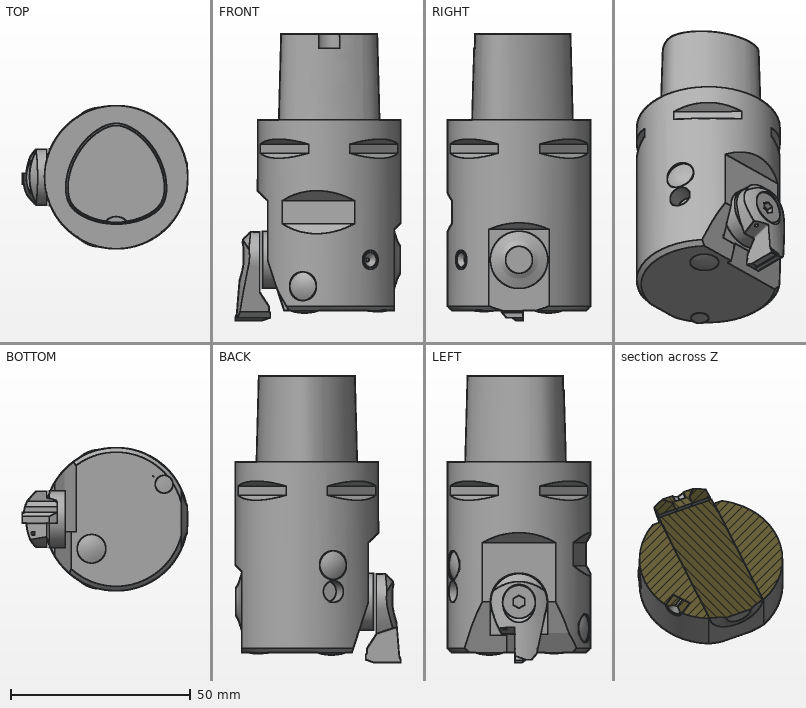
import cadquery as cq
import math


SHANK_LENGTH = 24.0
SHANK_BASE_RADIUS = 14.1
SHANK_TOP_RADIUS = 13.4
SHANK_LOBE = 1.0
SHANK_FACES = 6
POINTS_PER_FACE = 9
KEYWAY_DIAMETER = 7.5
KEYWAY_DEPTH = 4.0
KEYWAY_AXIS_Y = -14.7

BODY_RADIUS = 20.0
BODY_LENGTH = 53.2
BODY_CHAMFER = 1.3
BODY_BOTTOM_Z = -BODY_LENGTH
CUT_SIZE = 64.0

GRIP_DISTANCE = 17.6
GRIP_TOP_Z = -6.8
GRIP_BOTTOM_Z = -9.3
GRIP_FLARE = 0.6
GRIP_ANGLES = (45, 135, 225, 315)

FLAT_DISTANCE = 17.2
FLAT_TOP_Z = -22.6
FLAT_POCKET_BOTTOM_Z = -29.0
FLAT_POCKET_ANGLE = 260.0
RIGHT_FLAT_DISTANCE = 18.2
RIGHT_FLAT_TOP_Z = -30.6

BAR_Z = -39.0
BAR_RADIUS = 16.0 / 2
BAR_FRONT_X = -18.6
BAR_SHOULDER_X = RIGHT_FLAT_DISTANCE
BAR_RING_X = 19.0
BAR_RING_RADIUS = 5.3
BAR_END_X = 19.8
BAR_END_RADIUS = 7.5 / 2
SLOT_FLOOR_X = -14.2

RELIEF_ANGLE = 18.0
STEEP_RELIEF_ANGLE = 30.0
STEEP_RELIEF_Z = -47.7
STEEP_RELIEF_Y = 3.4

ARM_BACK_X = -19.4
ARM_HEAD_RADIUS = 7.8
ARM_TANGENT_DROP = 1.6
ARM_SHOULDER = (6.1, -45.6)
ARM_SHOULDER_END = (4.3, -48.8)
ARM_HEEL_TOP = (-5.0, -53.5)
ARM_HEEL_END_Y = -3.5
ARM_STRAIGHT_END_Z = -48.1
ARM_FOOT_X = -16.7
ARM_FOOT_TOP_Z = -52.1
ARM_FOOT_END_Z = -53.4
ARM_LIP_X = -16.4
ARM_LIP_TOP_Z = -53.8
ARM_FACE_TOP = (-24.1, -33.5)
ARM_FACE_BOTTOM = (-25.8, -54.1)
ARM_FACE_RADIUS = 14.4
ARM_CONE_X = -21.9
ARM_CONE_DROP = 0.8
ARM_BOTTOM_Z = -55.2
ARM_EDGE_Y = 1.1
STEP_BACK_Z = -47.9
STEP_ANGLE = 18.0
STEP_FILLET = 0.5
OUTLET_DIAMETER = 1.0
OUTLET_Y = 3.9
OUTLET_X = -23.2
OUTLET_DEPTH = 2.4
TIP_X = -26.2
TIP_BACK_X = -18.6
TIP_Z = -56.0
TIP_LAND_END_Y = -0.8
TIP_FLANK_END_Y = -1.9
TIP_TOP_Z = -54.1
TIP_LIP_Z = -55.3

SCREW_FRONT_X = -23.9
SCREW_HEAD_RADIUS = 9.2 / 2
SCREW_SHANK_RADIUS = 5.0 / 2
SCREW_NECK_X = SCREW_FRONT_X + SCREW_HEAD_RADIUS - SCREW_SHANK_RADIUS
SCREW_END_X = ARM_BACK_X
SOCKET_CORNERS = 3.6
SOCKET_TURN = 30
SOCKET_DEPTH = 2.0

PLUG_DIAMETER = 8.0
PLUG_RIM_RADIUS = 19.4
PLUG_LENGTH = 3.2
PLUG_RISE = 1.0
FRONT_PLUG_ANGLE = 248.0
FRONT_PLUG_Z = -46.4
REAR_PLUG_ANGLE = 112.0
REAR_PLUG_Z = -28.8
BOTTOM_PLUG_RISE = 0.7
BOTTOM_PLUG_X = -6.9
BOTTOM_PLUG_Y = 8.2
SMALL_PLUG_DIAMETER = 5.0
SMALL_PLUG_RIM_DROP = 0.2
SMALL_PLUG_RISE = 0.2
SMALL_PLUG_X = 13.4
SMALL_PLUG_Y = -9.8

SIDE_HOLE_DIAMETER = 6.0
SIDE_HOLE_ANGLE = 112.0
SIDE_HOLE_Z = -36.2
SIDE_HOLE_DEPTH = 5.6
NOZZLE_ANGLE = 305.5
NOZZLE_Z = BAR_Z
NOZZLE_DIAMETER = 5.3
NOZZLE_FACE_RADIUS = 19.8
NOZZLE_LENGTH = 4.0
NOZZLE_MOUTH_DIAMETER = 4.2
NOZZLE_BORE_DIAMETER = 1.0
NOZZLE_CONE_DEPTH = 1.3


def radial_plane(angle, radius, z):
    """Plane at a distance from the tool axis, facing outward at the given angle; its local Y is +Z."""
    a = math.radians(angle)
    outward = (math.cos(a), math.sin(a), 0)
    origin = (radius * math.cos(a), radius * math.sin(a), z)
    return cq.Plane(origin=origin, xDir=(-math.sin(a), math.cos(a), 0), normal=outward)


def bar_axis_revolve(profile):
    """Revolve (x, radius) points about the bar axis, which runs along X."""
    wp = cq.Workplane("XZ", origin=(0, 0, BAR_Z)).polyline(profile).close()
    return wp.revolve(360, (0, 0, 0), (1, 0, 0))


def shank_outline(radius, z):
    """Three-lobed polygon as six tangent curves, one lobe pointing to +Y."""
    def point(turn):
        g = math.radians(turn)
        u = radius * math.cos(g) + SHANK_LOBE * (2 * math.cos(2 * g) - math.cos(4 * g))
        v = radius * math.sin(g) - SHANK_LOBE * (2 * math.sin(2 * g) + math.sin(4 * g))
        return cq.Vector(-v, u, z)

    def tangent(turn):
        g = math.radians(turn)
        return cq.Vector(-math.cos(g), -math.sin(g), 0)

    span = 360 / SHANK_FACES
    edges = []
    for face in range(SHANK_FACES):
        start = (face - 0.5) * span
        step = span / (POINTS_PER_FACE - 1)
        points = [point(start + i * step) for i in range(POINTS_PER_FACE)]
        ends = [tangent(start), tangent(start + span)]
        edges.append(cq.Edge.makeSpline(points, tangents=ends))
    return cq.Wire.assembleEdges(edges)


def make_shank():
    base = shank_outline(SHANK_BASE_RADIUS, 0)
    top = shank_outline(SHANK_TOP_RADIUS, SHANK_LENGTH)
    shank = cq.Workplane(cq.Solid.makeLoft([base, top], True))
    keyway = (
        cq.Workplane("XY", origin=(0, KEYWAY_AXIS_Y, SHANK_LENGTH - KEYWAY_DEPTH))
        .circle(KEYWAY_DIAMETER / 2)
        .extrude(KEYWAY_DEPTH)
    )
    return shank.cut(keyway)


def flared_flat(angle, distance, top_z, bottom_z, flare):
    """Cutter for a flat facing outward, with walls that open by `flare` per unit of depth."""
    depth = BODY_RADIUS - distance + 0.8
    spread = depth * flare
    profile = [
        (distance, bottom_z),
        (distance, top_z),
        (distance + depth, top_z + spread),
        (distance + depth, bottom_z - spread),
    ]
    cutter = cq.Workplane("XZ").polyline(profile).close().extrude(BODY_RADIUS, both=True)
    return cutter.rotate((0, 0, 0), (0, 0, 1), angle)


def relief_cutter(start_x, start_z, angle):
    """Wedge that slopes inward from a start line down past the bottom of the body."""
    end_z = BODY_BOTTOM_Z - 0.8
    end_x = start_x + (start_z - end_z) * math.tan(math.radians(angle))
    profile = [(start_x, start_z), (end_x, end_z), (-CUT_SIZE, end_z), (-CUT_SIZE, start_z)]
    return cq.Workplane("XZ").polyline(profile).close().extrude(CUT_SIZE / 2, both=True)


def cut_reliefs(body):
    """Shallow facet across the tool side, and a steeper one over most of its lower end."""
    slope = math.tan(math.radians(RELIEF_ANGLE))
    steep_x = -FLAT_DISTANCE + (BAR_Z - STEEP_RELIEF_Z) * slope
    steep = relief_cutter(steep_x, STEEP_RELIEF_Z, STEEP_RELIEF_ANGLE)
    keep_side = cq.Workplane("XY").box(2 * CUT_SIZE, CUT_SIZE, 2 * CUT_SIZE)
    steep = steep.intersect(keep_side.translate((0, STEEP_RELIEF_Y - CUT_SIZE / 2, 0)))
    return body.cut(relief_cutter(-FLAT_DISTANCE, BAR_Z, RELIEF_ANGLE)).cut(steep)


def make_housing_blank():
    """Housing without the holes that take the other bodies."""
    body = (
        cq.Workplane("XY", origin=(0, 0, BODY_BOTTOM_Z))
        .circle(BODY_RADIUS)
        .extrude(BODY_LENGTH)
        .faces("<Z")
        .chamfer(BODY_CHAMFER)
    )
    for angle in GRIP_ANGLES:
        body = body.cut(flared_flat(angle, GRIP_DISTANCE, GRIP_TOP_Z, GRIP_BOTTOM_Z, GRIP_FLARE))
    open_end_z = BODY_BOTTOM_Z - 0.8
    body = body.cut(flared_flat(180, FLAT_DISTANCE, FLAT_TOP_Z, open_end_z, 1))
    body = body.cut(flared_flat(0, RIGHT_FLAT_DISTANCE, RIGHT_FLAT_TOP_Z, open_end_z, 1))
    body = body.cut(
        flared_flat(FLAT_POCKET_ANGLE, FLAT_DISTANCE, FLAT_TOP_Z, FLAT_POCKET_BOTTOM_Z, 1)
    )
    body = cut_reliefs(body)

    slot = (
        cq.Workplane("YZ", origin=(SLOT_FLOOR_X, 0, 0))
        .center(0, BAR_Z - CUT_SIZE / 2)
        .rect(2 * BAR_RADIUS, CUT_SIZE)
        .extrude(-CUT_SIZE)
    )
    body = body.cut(slot)

    side_hole = cq.Workplane(radial_plane(SIDE_HOLE_ANGLE, BODY_RADIUS, SIDE_HOLE_Z))
    body = body.cut(side_hole.circle(SIDE_HOLE_DIAMETER / 2).extrude(-SIDE_HOLE_DEPTH))
    return body.union(make_shank())


def make_screw():
    blank = bar_axis_revolve([
        (SCREW_FRONT_X, 0),
        (SCREW_FRONT_X, SCREW_HEAD_RADIUS),
        (SCREW_NECK_X, SCREW_SHANK_RADIUS),
        (SCREW_END_X, SCREW_SHANK_RADIUS),
        (SCREW_END_X, 0),
    ])
    socket = (
        cq.Workplane("YZ", origin=(SCREW_FRONT_X, 0, BAR_Z))
        .transformed(rotate=(0, 0, SOCKET_TURN))
        .polygon(6, SOCKET_CORNERS)
        .extrude(SOCKET_DEPTH)
    )
    return blank.cut(socket)


def make_bar():
    return bar_axis_revolve([
        (BAR_FRONT_X, 0),
        (BAR_FRONT_X, BAR_RADIUS),
        (BAR_SHOULDER_X, BAR_RADIUS),
        (BAR_RING_X, BAR_RING_RADIUS),
        (BAR_END_X, BAR_END_RADIUS),
        (BAR_END_X, 0),
    ])


def make_screw_seat():
    """Screw hole whose countersink continues outward through the arm's sloping face."""
    reach = 3.2
    return bar_axis_revolve([
        (SCREW_FRONT_X - reach, 0),
        (SCREW_FRONT_X - reach, SCREW_HEAD_RADIUS + reach),
        (SCREW_NECK_X, SCREW_SHANK_RADIUS),
        (SCREW_END_X, SCREW_SHANK_RADIUS),
        (SCREW_END_X, 0),
    ])


def make_arm_outline():
    """Arm as seen along X: round head, tapering to the narrow lower end."""
    tangent_z = BAR_Z - ARM_TANGENT_DROP
    tangent_y = math.sqrt(ARM_HEAD_RADIUS**2 - ARM_TANGENT_DROP**2)
    return (
        cq.Workplane("YZ", origin=(TIP_X, 0, 0))
        .moveTo(-tangent_y, tangent_z)
        .threePointArc((0, BAR_Z + ARM_HEAD_RADIUS), (tangent_y, tangent_z))
        .threePointArc(ARM_SHOULDER, ARM_SHOULDER_END)
        .lineTo(ARM_EDGE_Y, ARM_SHOULDER_END[1])
        .lineTo(ARM_EDGE_Y, ARM_BOTTOM_Z)
        .lineTo(ARM_HEEL_END_Y, ARM_BOTTOM_Z)
        .lineTo(*ARM_HEEL_TOP)
        .close()
        .extrude(ARM_LIP_X - TIP_X)
    )


def make_arm_side():
    """Arm as seen along Y: flat back that steps toward the housing at the lower end."""
    top_z = BAR_Z + ARM_HEAD_RADIUS
    profile = [
        (ARM_BACK_X, top_z),
        (ARM_BACK_X, ARM_STRAIGHT_END_Z),
        (ARM_FOOT_X, ARM_FOOT_TOP_Z),
        (ARM_FOOT_X, ARM_FOOT_END_Z),
        (ARM_LIP_X, ARM_LIP_TOP_Z),
        (ARM_LIP_X, ARM_BOTTOM_Z),
        (TIP_X, ARM_BOTTOM_Z),
        (TIP_X, top_z),
    ]
    return cq.Workplane("XZ").polyline(profile).close().extrude(2 * BAR_RADIUS, both=True)


def make_arm_face():
    """Leaning cylinder whose surface is the rounded front face of the arm."""
    run = ARM_FACE_BOTTOM[0] - ARM_FACE_TOP[0]
    drop = ARM_FACE_BOTTOM[1] - ARM_FACE_TOP[1]
    down = cq.Vector(run, 0, drop).normalized()
    margin = 8.0
    start = cq.Vector(ARM_FACE_TOP[0] + ARM_FACE_RADIUS, 0, ARM_FACE_TOP[1]) - down * margin
    length = math.hypot(run, drop) + 2 * margin
    return cq.Workplane(cq.Solid.makeCylinder(ARM_FACE_RADIUS, length, start, down))


def make_head_limit():
    """A 45 degree cone that bevels the top of the head; the box below leaves the rest of the arm whole."""
    radius = ARM_HEAD_RADIUS + ARM_CONE_DROP
    cone = bar_axis_revolve([
        (ARM_LIP_X, 0),
        (ARM_LIP_X, radius),
        (ARM_CONE_X, radius),
        (ARM_CONE_X - radius, 0),
    ]).translate((0, 0, -ARM_CONE_DROP))
    box_z = BAR_Z - ARM_CONE_DROP - CUT_SIZE / 2
    below = cq.Workplane("XY", origin=(0, 0, box_z)).box(CUT_SIZE, CUT_SIZE, CUT_SIZE)
    return cone.union(below)


def make_step_cutter():
    """Space beside the blade, under the head; its roof rises toward the front."""
    roof = cq.Plane(origin=(ARM_BACK_X, ARM_EDGE_Y, STEP_BACK_Z), xDir=(1, 0, 0), normal=(0, 0, 1))
    roof = roof.rotated((0, STEP_ANGLE, 0))
    block = (
        cq.Workplane("XY", origin=(0, 0, -CUT_SIZE))
        .box(CUT_SIZE, CUT_SIZE, CUT_SIZE, centered=(True, False, False))
        .edges("|X and <Y and >Z")
        .fillet(STEP_FILLET)
    )
    outlet_x = (OUTLET_X - ARM_BACK_X) / math.cos(math.radians(STEP_ANGLE))
    outlet = (
        cq.Workplane("XY")
        .center(outlet_x, OUTLET_Y - ARM_EDGE_Y)
        .circle(OUTLET_DIAMETER / 2)
        .extrude(OUTLET_DEPTH)
    )
    return cq.Workplane(block.union(outlet).val().moved(cq.Location(roof)))


def make_tip():
    """Cutting edge at the bottom of the arm."""
    side = [
        (ARM_FACE_BOTTOM[0], TIP_TOP_Z),
        (TIP_X, TIP_LIP_Z),
        (TIP_X, TIP_Z),
        (TIP_BACK_X, TIP_Z),
        (ARM_LIP_X, ARM_BOTTOM_Z),
        (ARM_LIP_X, TIP_TOP_Z),
    ]
    front = [
        (ARM_EDGE_Y, TIP_TOP_Z),
        (ARM_EDGE_Y, TIP_Z),
        (TIP_LAND_END_Y, TIP_Z),
        (TIP_FLANK_END_Y, ARM_BOTTOM_Z),
    ]
    tip = cq.Workplane("XZ").polyline(side).close().extrude(BAR_RADIUS, both=True)
    return tip.intersect(cq.Workplane("YZ").polyline(front).close().extrude(-CUT_SIZE))


def make_arm():
    arm = make_arm_outline().intersect(make_arm_side())
    arm = arm.intersect(make_arm_face()).intersect(make_head_limit())
    arm = arm.cut(make_step_cutter()).union(make_tip())
    return arm.cut(make_screw_seat())


def make_domed_plug(plane, diameter, rise):
    """Round plug that fills a blind hole below `plane` and bulges above it."""
    radius = diameter / 2
    sphere_radius = (radius**2 + rise**2) / (2 * rise)
    half_angle = math.asin(radius / sphere_radius) / 2
    arc_middle = (
        sphere_radius * math.sin(half_angle),
        rise - sphere_radius * (1 - math.cos(half_angle)),
    )
    dome = (
        cq.Workplane("XZ")
        .moveTo(0, -PLUG_LENGTH)
        .lineTo(radius, -PLUG_LENGTH)
        .lineTo(radius, 0)
        .threePointArc(arc_middle, (0, rise))
        .close()
        .revolve(360, (0, 0, 0), (0, 1, 0))
    )
    return cq.Workplane(dome.val().moved(cq.Location(plane)))


def nozzle_cylinder(start_radius, length):
    plane = radial_plane(NOZZLE_ANGLE, start_radius, NOZZLE_Z)
    return cq.Workplane(plane).circle(NOZZLE_DIAMETER / 2).extrude(length)


def make_nozzle():
    """Round insert with a conical mouth that leads to a fine bore."""
    profile = [
        (0, -NOZZLE_LENGTH),
        (NOZZLE_BORE_DIAMETER / 2, -NOZZLE_LENGTH),
        (NOZZLE_BORE_DIAMETER / 2, -NOZZLE_CONE_DEPTH),
        (NOZZLE_MOUTH_DIAMETER / 2, 0),
        (0, 0),
    ]
    mouth = cq.Workplane("XZ").polyline(profile).close().revolve(360, (0, 0, 0), (0, 1, 0))
    plane = radial_plane(NOZZLE_ANGLE, NOZZLE_FACE_RADIUS, NOZZLE_Z)
    body = nozzle_cylinder(NOZZLE_FACE_RADIUS - NOZZLE_LENGTH, NOZZLE_LENGTH)
    return body.cut(cq.Workplane(mouth.val().moved(cq.Location(plane))))


def bottom_plane(x, y, drop=0):
    """Plane facing down, at or a little below the underside of the body."""
    return cq.Plane(origin=(x, y, BODY_BOTTOM_Z - drop), xDir=(1, 0, 0), normal=(0, 0, -1))


PLUGS = [
    (radial_plane(FRONT_PLUG_ANGLE, PLUG_RIM_RADIUS, FRONT_PLUG_Z), PLUG_DIAMETER, PLUG_RISE),
    (radial_plane(REAR_PLUG_ANGLE, PLUG_RIM_RADIUS, REAR_PLUG_Z), PLUG_DIAMETER, PLUG_RISE),
    (bottom_plane(BOTTOM_PLUG_X, BOTTOM_PLUG_Y), PLUG_DIAMETER, BOTTOM_PLUG_RISE),
    (
        bottom_plane(SMALL_PLUG_X, SMALL_PLUG_Y, SMALL_PLUG_RIM_DROP),
        SMALL_PLUG_DIAMETER,
        SMALL_PLUG_RISE,
    ),
]
plugs = [make_domed_plug(plane, diameter, rise) for plane, diameter, rise in PLUGS]

housing = make_housing_blank().cut(make_bar())
for plane, diameter, rise in PLUGS:
    hole_bottom = cq.Workplane(plane).workplane(offset=-PLUG_LENGTH)
    housing = housing.cut(hole_bottom.circle(diameter / 2).extrude(2 * PLUG_LENGTH))
housing = housing.cut(nozzle_cylinder(NOZZLE_FACE_RADIUS - NOZZLE_LENGTH, 2 * NOZZLE_LENGTH))

bar = make_bar()
screw = make_screw()
arm = make_arm()
nozzle = make_nozzle()

bodies = [housing, bar, arm, screw, nozzle, *plugs]
result = cq.Compound.makeCompound([body.solids().val() for body in bodies])